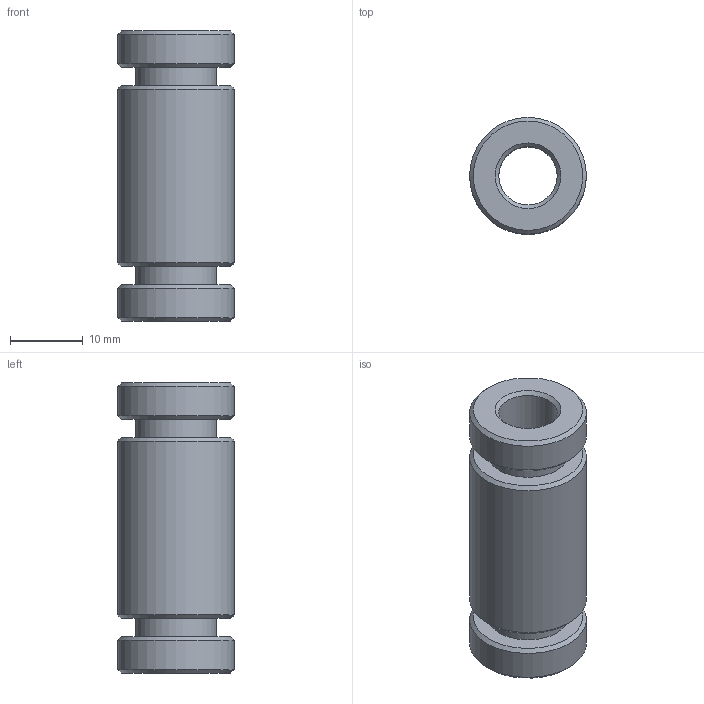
import cadquery as cq

total_length = 39.8
outer_diameter = 16.0
groove_diameter = 11.0
bore_diameter = 8.0
collar_length = 5.0
groove_width = 2.5
chamfer = 0.5

body_length = total_length - 2 * (collar_length + groove_width)


def chamfered_cylinder(length, bottom_z):
    """Full-diameter cylinder along Z with both rims chamfered."""
    return (
        cq.Workplane("XY")
        .workplane(offset=bottom_z)
        .circle(outer_diameter / 2)
        .extrude(length)
        .faces("<Z or >Z")
        .chamfer(chamfer)
    )


def chamfered_bore():
    """Cutter for the through bore, flared at both ends by its entry chamfers."""
    bore_radius = bore_diameter / 2
    mouth_radius = bore_radius + chamfer
    return (
        cq.Workplane("XZ")
        .moveTo(0, 0)
        .lineTo(mouth_radius, 0)
        .lineTo(bore_radius, chamfer)
        .lineTo(bore_radius, total_length - chamfer)
        .lineTo(mouth_radius, total_length)
        .lineTo(0, total_length)
        .close()
        .revolve(360, (0, 0, 0), (0, 1, 0))
    )


sleeve = cq.Workplane("XY").circle(groove_diameter / 2).extrude(total_length)

sections = [
    (collar_length, 0),
    (body_length, collar_length + groove_width),
    (collar_length, total_length - collar_length),
]
for length, bottom_z in sections:
    sleeve = sleeve.union(chamfered_cylinder(length, bottom_z))

result = sleeve.cut(chamfered_bore())